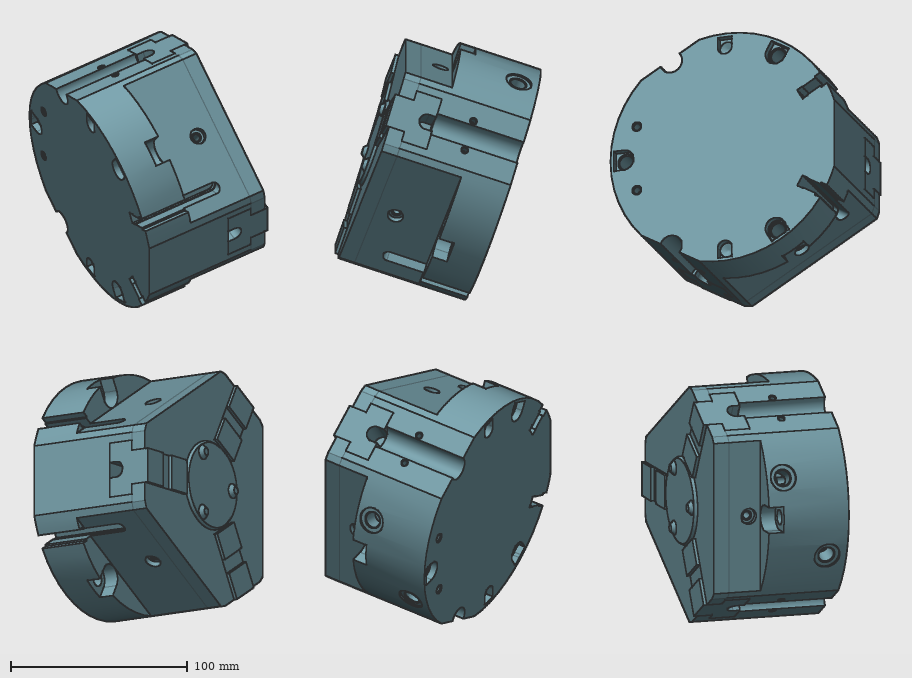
import cadquery as cq
import math


BODY_RADIUS = 69.0
JAW_FLAT = 66.0
SIDE_FLAT = 53.5
JOINT_Y = 66.8
REAR_Y = 75.9
JAW_ANGLES = (0, 120, 240)
SIDE_FLAT_START = {60: 28.1, 180: 47.9, 300: 28.1}
SIDE_ANGLES = tuple(SIDE_FLAT_START)

JAW_WIDTH = 19.6
JAW_FOOT_WIDTH = 31.3
JAW_FOOT_Y = 51.7
JAW_TOP_Y = 77.8
JAW_INNER_RADIUS = 26.1
JAW_GROOVE_RADIUS = 46.0
JAW_GROOVE_WIDTH = 8.4
JAW_HOLE_DIAMETER = 9.0
JAW_HOLE_Y = 56.0
JAW_HOLE_DEPTH = 16.5

GROOVE_ANGLES = (120, 240)
GROOVE_DIAMETER = 13.2
GROOVE_RADIUS = 64.9
FLAT_HOLE_DIAMETER = 3.2
FLAT_HOLE_MOUTH = 4.1
FLAT_HOLE_OFFSET = 9.0
FLAT_HOLE_Y = 30.9
FLAT_HOLE_DEPTH = 6.9

MOUNT_RADIUS = 61.0
POCKET_OUTER_RADIUS = 66.9
BOLT_POCKET_WIDTH = 12.0
POCKET_DEPTH = 4.4
BOLT_HOLE_DIAMETER = 8.5
BOLT_HOLE_MOUTH = 10.0
RELIEF_WIDTH = 2 * (MOUNT_RADIUS - SIDE_FLAT)
RELIEF_DEPTH = 8.8
DOWEL_ANGLES = (90, 270)
DOWEL_DIAMETER = 8.5
DRILL_TIP_ANGLE = 118.0

PORT_Y = {160: 38.0, 200: 11.7}
SPOTFACE_DIAMETER = 15.0
SPOTFACE_RADIUS = 67.6
PORT_DIAMETER = 9.0
PORT_MOUTH = 10.0
PORT_END_RADIUS = 57.0
CROSS_HOLE_RADIUS = 56.5
CROSS_HOLE_DIAMETER = 4.1
CROSS_HOLE_MOUTH = 5.5

SCREW_Y = 54.9
SCREW_BORE_DIAMETER = 9.0
SCREW_BORE_DEPTH = 3.5
SCREW_DIAMETER = 4.1
SCREW_MOUTH = 5.5
SCREW_DEPTH = 11.0

SLOT_ANGLES = (30, 330)
SLOT_WIDTH = 6.0
SLOT_END_Y = 53.1
SLOT_HEAD_WIDTH = 6.6
SLOT_HEAD_RADII = (52.3, 55.7)
SLOT_MOUTH_WIDTH = 8.0
SLOT_MOUTH_RADIUS = 64.9

DISC_BASE_DIAMETER = 51.0
DISC_TOP_DIAMETER = 48.8
SCREW_HEAD_RADIUS = 20.0
HEAD_BASE_DIAMETER = 8.4
HEAD_TOP_DIAMETER = 4.1
HEAD_TOP_Y = 80.2

BEYOND = 2 * BODY_RADIUS


def at_angle(shape, angle):
    """Turn a shape built along +X about the gripper axis, from +X towards +Z."""
    return shape.rotate((0, 0, 0), (0, 1, 0), -angle)


def block(r0, r1, y0, y1, width):
    """Box from radius r0 to r1 and from y0 to y1, centred on z = 0."""
    box = cq.Workplane("XY").box(r1 - r0, y1 - y0, width, centered=(False, False, True))
    return box.translate((r0, y0, 0))


def rod(point, direction, diameter, length):
    return cq.Workplane(cq.Solid.makeCylinder(diameter / 2, length, cq.Vector(*point), cq.Vector(*direction)))


def cone(point, direction, start_diameter, end_diameter, length):
    start_radius = start_diameter / 2
    end_radius = end_diameter / 2
    solid = cq.Solid.makeCone(start_radius, end_radius, length, cq.Vector(*point), cq.Vector(*direction))
    return cq.Workplane(solid)


def chamfered_hole(point, direction, diameter, mouth, depth):
    """Blind hole whose mouth has a 45 degree chamfer."""
    chamfer = cone(point, direction, mouth, diameter, (mouth - diameter) / 2)
    return rod(point, direction, diameter, depth).union(chamfer)


def radial_u(width, center_radius, outer_radius, y0, y1):
    """U-shaped space: a round end about center_radius, straight out to outer_radius."""
    return rod((center_radius, y0, 0), (0, 1, 0), width, y1 - y0).union(
        block(center_radius, outer_radius, y0, y1, width)
    )


def outline(y0, y1):
    """Round body between y0 and y1 with the three jaw flats."""
    body = rod((0, y0, 0), (0, 1, 0), 2 * BODY_RADIUS, y1 - y0)
    for angle in JAW_ANGLES:
        body = body.cut(at_angle(block(JAW_FLAT, BEYOND, y0, y1, BEYOND), angle))
    for angle in SIDE_ANGLES:
        start = SIDE_FLAT_START[angle]
        body = body.cut(at_angle(block(SIDE_FLAT, BEYOND, start, REAR_Y, BEYOND), angle))
    return body


def jaw_blank():
    """T-shaped jaw without its groove and hole; the housing is cut to the same shape."""
    foot = block(JAW_INNER_RADIUS, JAW_FLAT, JAW_FOOT_Y, JOINT_Y, JAW_FOOT_WIDTH)
    return foot.union(block(JAW_INNER_RADIUS, JAW_FLAT, JOINT_Y, JAW_TOP_Y, JAW_WIDTH))


def make_jaw():
    groove_start = JAW_GROOVE_RADIUS - JAW_GROOVE_WIDTH / 2
    groove = block(groove_start, groove_start + JAW_GROOVE_WIDTH, REAR_Y, JAW_TOP_Y, JAW_WIDTH)
    hole_end = JAW_FLAT - JAW_HOLE_DEPTH
    hole = rod((hole_end, JAW_HOLE_Y, 0), (1, 0, 0), JAW_HOLE_DIAMETER, JAW_HOLE_DEPTH)
    opening = block(hole_end, JAW_FLAT, JAW_FOOT_Y, JAW_HOLE_Y, JAW_HOLE_DIAMETER)
    return jaw_blank().cut(groove).cut(hole).cut(opening)


def groove_cuts():
    cuts = rod((GROOVE_RADIUS, 0, 0), (0, 1, 0), GROOVE_DIAMETER, JAW_FOOT_Y)
    for z in (-FLAT_HOLE_OFFSET, FLAT_HOLE_OFFSET):
        mouth = (JAW_FLAT, FLAT_HOLE_Y, z)
        hole = chamfered_hole(mouth, (-1, 0, 0), FLAT_HOLE_DIAMETER, FLAT_HOLE_MOUTH, FLAT_HOLE_DEPTH)
        cuts = cuts.union(hole)
    return cuts


def side_flat_cuts(flat_start):
    pocket = radial_u(BOLT_POCKET_WIDTH, MOUNT_RADIUS, POCKET_OUTER_RADIUS, 0, POCKET_DEPTH)
    bolt = chamfered_hole(
        (MOUNT_RADIUS, POCKET_DEPTH, 0), (0, 1, 0), BOLT_HOLE_DIAMETER, BOLT_HOLE_MOUTH, flat_start
    )
    relief = radial_u(RELIEF_WIDTH, MOUNT_RADIUS, BEYOND, flat_start - RELIEF_DEPTH, flat_start)
    bore = rod((SIDE_FLAT, SCREW_Y, 0), (-1, 0, 0), SCREW_BORE_DIAMETER, SCREW_BORE_DEPTH)
    screw = chamfered_hole(
        (SIDE_FLAT - SCREW_BORE_DEPTH, SCREW_Y, 0), (-1, 0, 0), SCREW_DIAMETER, SCREW_MOUTH, SCREW_DEPTH
    )
    return pocket.union(bolt).union(relief).union(bore).union(screw)


def dowel_cut():
    """U-shaped pocket that ends in a drill-tip cone."""
    tip_length = DOWEL_DIAMETER / 2 / math.tan(math.radians(DRILL_TIP_ANGLE / 2))
    pocket = radial_u(DOWEL_DIAMETER, MOUNT_RADIUS, POCKET_OUTER_RADIUS, 0, POCKET_DEPTH)
    tip = cone((MOUNT_RADIUS, POCKET_DEPTH, 0), (0, 1, 0), DOWEL_DIAMETER, 0, tip_length)
    return pocket.union(tip)


def port_cut(y):
    spotface = rod((SPOTFACE_RADIUS, y, 0), (1, 0, 0), SPOTFACE_DIAMETER, BODY_RADIUS)
    port = chamfered_hole(
        (SPOTFACE_RADIUS, y, 0), (-1, 0, 0), PORT_DIAMETER, PORT_MOUTH, SPOTFACE_RADIUS - PORT_END_RADIUS
    )
    cross = chamfered_hole((CROSS_HOLE_RADIUS, 0, 0), (0, 1, 0), CROSS_HOLE_DIAMETER, CROSS_HOLE_MOUTH, y)
    return spotface.union(port).union(cross)


def sensor_slot():
    """Radial slot with a round rear end, a wider head inside and a wider mouth outside."""
    axis_y = SLOT_END_Y - SLOT_WIDTH / 2
    head_start, head_end = SLOT_HEAD_RADII
    neck = block(head_end, BEYOND, 0, axis_y, SLOT_WIDTH)
    neck_end = rod((head_end, axis_y, 0), (1, 0, 0), SLOT_WIDTH, BODY_RADIUS)
    head = block(head_start, head_end, 0, axis_y, SLOT_HEAD_WIDTH)
    head_round = rod((head_start, axis_y, 0), (1, 0, 0), SLOT_HEAD_WIDTH, head_end - head_start)
    mouth = block(SLOT_MOUTH_RADIUS, BEYOND, 0, axis_y, SLOT_MOUTH_WIDTH)
    return neck.union(neck_end).union(head).union(head_round).union(mouth)


def centre_disc():
    disc = cone((0, REAR_Y, 0), (0, 1, 0), DISC_BASE_DIAMETER, DISC_TOP_DIAMETER, JAW_TOP_Y - REAR_Y)
    head_base = (SCREW_HEAD_RADIUS, JAW_TOP_Y, 0)
    head_height = HEAD_TOP_Y - JAW_TOP_Y
    head = cone(head_base, (0, 1, 0), HEAD_BASE_DIAMETER, HEAD_TOP_DIAMETER, head_height)
    for angle in SIDE_ANGLES:
        disc = disc.union(at_angle(head, angle))
    return disc


def cut_features(body):
    for angle in JAW_ANGLES:
        body = body.cut(at_angle(jaw_blank(), angle))
    for angle in GROOVE_ANGLES:
        body = body.cut(at_angle(groove_cuts(), angle))
    for angle in SIDE_ANGLES:
        body = body.cut(at_angle(side_flat_cuts(SIDE_FLAT_START[angle]), angle))
    for angle in DOWEL_ANGLES:
        body = body.cut(at_angle(dowel_cut(), angle))
    for angle, y in PORT_Y.items():
        body = body.cut(at_angle(port_cut(y), angle))
    for angle in SLOT_ANGLES:
        body = body.cut(at_angle(sensor_slot(), angle))
    return body


def make_housing():
    front_block = cut_features(outline(0, JOINT_Y))
    plate = cut_features(outline(JOINT_Y, REAR_Y)).union(centre_disc())
    return front_block.union(plate, clean=False)


housing = make_housing()
jaws = [at_angle(make_jaw(), angle) for angle in JAW_ANGLES]

result = cq.Compound.makeCompound([housing.val(), *[jaw.val() for jaw in jaws]])